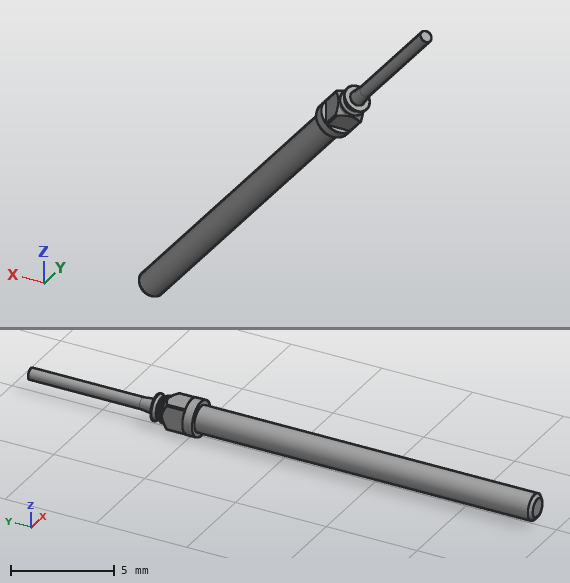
import cadquery as cq

total_length = 27.9
tip_chamfer_length = 0.17
collar_front = 18.53
collar_back = 19.05
square_back = 20.3
ridge_crest = 20.48
groove_floor_front = 20.65
groove_floor_back = 20.73
rim_front = 20.9
rim_back = 20.95
wire_start = 21.75

barrel_radius = 0.7
tip_radius = 0.5
collar_radius = 0.95
groove_radius = 0.55
notch_radius = 0.65
neck_radius = 0.4
wire_radius = 0.3

square_width = 2 * barrel_radius
square_chamfer_length = 0.25
notch_floor = (square_back + ridge_crest) / 2


def revolve_profile(points):
    """Revolve (radius, y) points about the Y axis, closing along the axis."""
    axis_points = [(0, points[0][1])] + points + [(0, points[-1][1])]
    profile = cq.Workplane("XY").polyline(axis_points).close()
    return profile.revolve(360, (0, 0, 0), (0, 1, 0))


def barrel_and_collar():
    return revolve_profile([
        (tip_radius, 0),
        (barrel_radius, tip_chamfer_length),
        (barrel_radius, collar_front),
        (collar_radius, collar_front),
        (collar_radius, collar_back),
    ])


def square_section():
    """Square with rounded corners and a conical chamfer at its back end."""
    stock = revolve_profile([
        (collar_radius, collar_back),
        (collar_radius, square_back - square_chamfer_length),
        (barrel_radius, square_back),
    ])
    length = square_back - collar_back
    flats = cq.Workplane("XY").box(square_width, length, square_width)
    return stock.intersect(flats.translate((0, collar_back + length / 2, 0)))


def grooved_tail():
    """Notch, sharp ridge, groove and rim, then the tapered neck and wire."""
    return revolve_profile([
        (barrel_radius, square_back),
        (notch_radius, notch_floor),
        (barrel_radius, ridge_crest),
        (groove_radius, groove_floor_front),
        (groove_radius, groove_floor_back),
        (barrel_radius, rim_front),
        (barrel_radius, rim_back),
        (neck_radius, rim_back),
        (wire_radius, wire_start),
        (wire_radius, total_length),
    ])


result = barrel_and_collar().union(square_section()).union(grooved_tail())